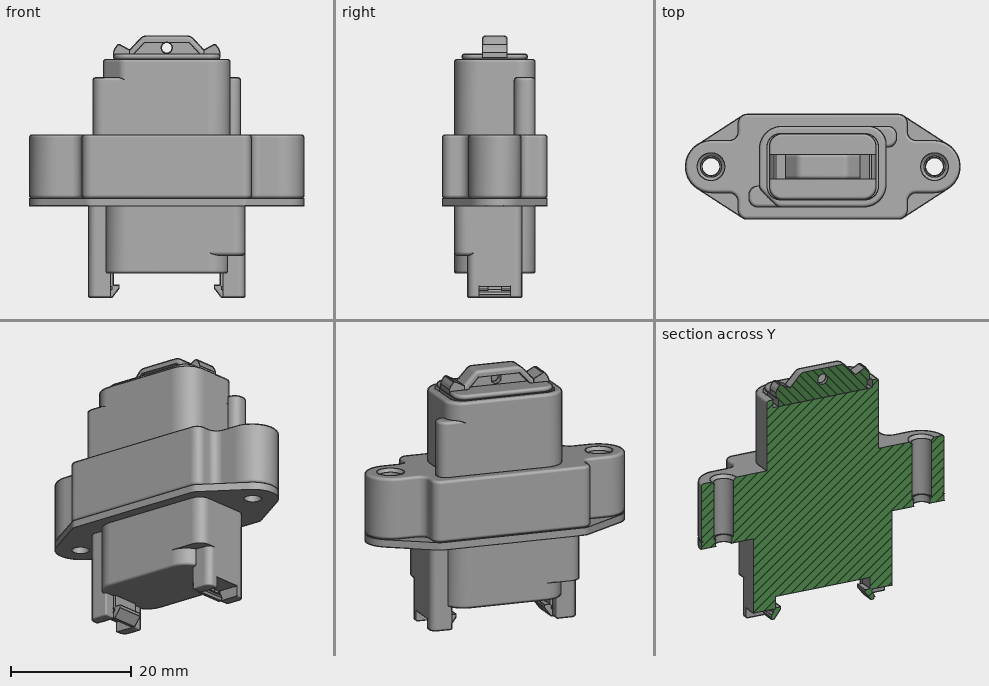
import cadquery as cq
import math

SOCKET_BOTTOM = 4.0
SOCKET_KEY_BOTTOM = 6.95
PLATE_BOTTOM = 15.15
PLATE_TOP = 16.43
BLOCK_TOP = 26.95
TOWER_KEY_TOP = 36.4
TOWER_TOP = 39.45
COVER_TOP = 40.3
HANDLE_TOP = 43.3

BLOCK_HALF_X = 14.0
BLOCK_HALF_Y = 8.7
BLOCK_ROUND = 1.5
LUG_RADIUS = 4.3
LUG_X = 22.75 - LUG_RADIUS
SCREW_X = 18.5
SCREW_BORE_DIAMETER = 3.5
SCREW_BORE_CHAMFER = 0.55
PLATE_HOLE_DIAMETER = 2.95

TOWER_HALF_X = 10.5
TOWER_HALF_Y = 6.7
TOWER_ROUND = 3.78
TOWER_KEYED_ROUND = 3.05
TOWER_CHAMFER = 3.1
TOWER_CHAMFER_ROUND = 1.55
TOWER_CHAMFER_DEPTH = 4.55
TOWER_KEY_OUTER_END = 12.25
TOWER_KEY_INNER_END = TOWER_CHAMFER + TOWER_CHAMFER_ROUND * math.tan(math.pi / 8) - TOWER_HALF_X
TOWER_KEY_WIDTH = 3.45
TOWER_KEY_ROUND = 1.5
OUTER_FILLET = 0.5

OPENING_HALF_X = 9.25
OPENING_HALF_Y = 5.5
OPENING_ROUND = 2.28
OPENING_DEPTH = 1.35

SOCKET_HALF_X = 10.35
SOCKET_ROUND = 3.55
SOCKET_FILLET = 0.4
SOCKET_KEY_ROUND = 1.95
SOCKET_KEY_FILLET = 0.55

ARM_OUTER_X = 12.95
ARM_INNER_X = 9.3
ARM_HALF_Y = 4.5
ARM_ROUND = 1.2
ARM_INNER_ROUND = 0.25
ARM_TIP_FILLET = 0.27
HOOK_HALF_Y = 2.6
HOOK_FACE_X = 8.83
HOOK_TIP_X = 7.85
HOOK_TOP = 2.05
HOOK_LIP_DROP = 0.5
HOOK_TOE_X = 9.05
HOOK_SHOULDER_X = 9.6
HOOK_SHOULDER_Z = 0.85
HOOK_RIDGE_X = 9.75
HOOK_RIDGE_Z = 0.45
HOOK_BACK_Z = 1.27
HOOK_HEEL_X = 9.5
HOOK_POCKET_START_Y = 1.15
HOOK_POCKET_BOTTOM = 1.15
HOOK_POCKET_FLOOR_TOP = 1.4
HOOK_POCKET_DEPTH = 0.25
ARM_NOTCH_HEIGHT = 1.8

COVER_HALF_X = 8.83
COVER_HALF_Y = 5.4
COVER_ROUND = 2.05
PLUG_INSET = 0.45

HANDLE_HALF_Y = 2.05
HANDLE_TOP_HALF_X = 3.95
HANDLE_FOOT_X = 6.15
HANDLE_FOOT_Z = 41.0
HANDLE_BEND = 1.35
HANDLE_FILLET = 0.55
HANDLE_RIM = 1.05
RECESS_FOOT_X = 5.5
WEB_HALF_Y = 0.7
EYE_DIAMETER = 1.77
EYE_Z = 41.35

EAR_TIP_INNER_X = 7.8
EAR_TIP_OUTER_X = 8.1
EAR_TIP_Z = 41.85
EAR_FACET_X = 8.6
EAR_FACET_Z = 41.22
EAR_FACET_ROUND = 0.75
EAR_SIDE_TOP = 40.6
EAR_BOTTOM = 39.7

HALF_TURN = 180
SELECT_MARGIN = 0.45


def turned(shape):
    """The same shape turned half a turn about the Z axis."""
    return shape.rotate((0, 0, 0), (0, 0, 1), HALF_TURN)


def slab(x0, x1, y0, y1, z0, z1):
    """A rectangular block between two corners."""
    return (
        cq.Workplane("XY")
        .box(x1 - x0, y1 - y0, z1 - z0, centered=False)
        .translate((x0, y0, z0))
    )


def rounded_block(half_x, half_y, radius, z0, z1):
    """A centred block with rounded vertical corners."""
    return slab(-half_x, half_x, -half_y, half_y, z0, z1).edges("|Z").fillet(radius)


def prism_along_y(points, y0, y1):
    """A prism along Y from an outline in X and Z."""
    return cq.Workplane("XZ", origin=(0, y1, 0)).polyline(points).close().extrude(y1 - y0)


def point_on_circle(centre_x, centre_y, radius, angle):
    """The point of a circle at an angle from +X."""
    return (centre_x + radius * math.cos(angle), centre_y + radius * math.sin(angle))


def make_plate():
    """Diamond plate: straight sides tangent to the lug ends and to the block corners."""
    corner_x = BLOCK_HALF_X - BLOCK_ROUND
    corner_y = BLOCK_HALF_Y - BLOCK_ROUND
    run = LUG_X - corner_x
    centre_distance = math.hypot(run, corner_y)
    tilt = math.acos((LUG_RADIUS - BLOCK_ROUND) / centre_distance)
    side_angle = math.atan2(corner_y, -run) - tilt
    corner_middle_angle = (side_angle + math.pi / 2) / 2

    return (
        cq.Workplane("XY", origin=(0, 0, PLATE_BOTTOM))
        .moveTo(0, BLOCK_HALF_Y)
        .lineTo(corner_x, BLOCK_HALF_Y)
        .threePointArc(
            point_on_circle(corner_x, corner_y, BLOCK_ROUND, corner_middle_angle),
            point_on_circle(corner_x, corner_y, BLOCK_ROUND, side_angle),
        )
        .lineTo(*point_on_circle(LUG_X, 0, LUG_RADIUS, side_angle))
        .threePointArc(
            point_on_circle(LUG_X, 0, LUG_RADIUS, side_angle / 2),
            (LUG_X + LUG_RADIUS, 0),
        )
        .mirrorX()
        .mirrorY()
        .extrude(PLATE_TOP - PLATE_BOTTOM)
    )


def make_block():
    """Flange block with a rounded lug at each end."""
    middle = slab(-BLOCK_HALF_X, BLOCK_HALF_X, -BLOCK_HALF_Y, BLOCK_HALF_Y, PLATE_TOP, BLOCK_TOP)
    lugs = (
        cq.Workplane("XY", origin=(0, 0, PLATE_TOP))
        .slot2D(2 * (LUG_X + LUG_RADIUS), 2 * LUG_RADIUS)
        .extrude(BLOCK_TOP - PLATE_TOP)
    )
    block = middle.union(lugs)
    corners = cq.selectors.BoxSelector(
        (-BLOCK_HALF_X - SELECT_MARGIN, -BLOCK_HALF_Y - SELECT_MARGIN, PLATE_TOP),
        (BLOCK_HALF_X + SELECT_MARGIN, BLOCK_HALF_Y + SELECT_MARGIN, BLOCK_TOP),
    )
    block = block.edges("|Z").edges(corners).fillet(BLOCK_ROUND)
    return block.faces("<Z or >Z").edges().fillet(OUTER_FILLET)


def cut_screw_holes(body):
    """Screw holes through both lugs: a chamfered bore in the block, a smaller hole in the plate."""
    radius = SCREW_BORE_DIAMETER / 2
    for x in (-SCREW_X, SCREW_X):
        hole = cq.Workplane("XY", origin=(x, 0, PLATE_BOTTOM)).circle(PLATE_HOLE_DIAMETER / 2)
        bore = cq.Workplane("XY", origin=(x, 0, PLATE_TOP)).circle(radius)
        cone = cq.Solid.makeCone(
            radius,
            radius + SCREW_BORE_CHAMFER,
            SCREW_BORE_CHAMFER,
            pnt=cq.Vector(x, 0, BLOCK_TOP - SCREW_BORE_CHAMFER),
        )
        body = body.cut(hole.extrude(PLATE_TOP - PLATE_BOTTOM))
        body = body.cut(bore.extrude(BLOCK_TOP - PLATE_TOP))
        body = body.cut(cq.Workplane(cone))
    return body


def tower_section(z0, z1, chamfered):
    """Tower length with three round corners; the one at -X, -Y is chamfered or square."""
    section = slab(-TOWER_HALF_X, TOWER_HALF_X, -TOWER_HALF_Y, TOWER_HALF_Y, z0, z1)
    if chamfered:
        section = section.edges("|Z and <X and <Y").chamfer(TOWER_CHAMFER)
        chamfer_ends = "(|Z and (<X or <Y)) exc (>X or >Y)"
        section = section.edges(chamfer_ends).fillet(TOWER_CHAMFER_ROUND)
    section = section.edges("|Z and >X and >Y").fillet(TOWER_KEYED_ROUND)
    return section.edges("|Z and ((>X and <Y) or (<X and >Y))").fillet(TOWER_ROUND)


def make_tower_key():
    """Key along the -X, -Y corner of the tower; it stops below the tower top."""
    key = slab(
        -TOWER_KEY_OUTER_END,
        TOWER_KEY_INNER_END,
        -TOWER_HALF_Y,
        TOWER_KEY_WIDTH - TOWER_HALF_Y,
        BLOCK_TOP,
        TOWER_KEY_TOP,
    )
    key = key.edges("|Z and <X").fillet(TOWER_KEY_ROUND)
    return key.faces(">Z").edges("not >X").fillet(OUTER_FILLET)


def make_tower():
    """Tower with a chamfered corner at the top, two keys and the opening for the cover."""
    chamfer_bottom = TOWER_TOP - TOWER_CHAMFER_DEPTH
    top = tower_section(chamfer_bottom, TOWER_TOP, chamfered=True)
    top = top.faces(">Z").edges().fillet(OUTER_FILLET)
    key = make_tower_key()
    shaft = tower_section(BLOCK_TOP, chamfer_bottom, chamfered=False)
    tower = shaft.union(top).union(key).union(turned(key))
    opening = rounded_block(
        OPENING_HALF_X, OPENING_HALF_Y, OPENING_ROUND, TOWER_TOP - OPENING_DEPTH, TOWER_TOP
    )
    return tower.cut(opening)


def make_socket_key():
    """Key that fills out the +X, -Y corner of the socket."""
    key = slab(
        SOCKET_HALF_X - SOCKET_ROUND, ARM_OUTER_X, -TOWER_HALF_Y, 0, SOCKET_KEY_BOTTOM, PLATE_BOTTOM
    )
    return key.edges("|Z and >X and <Y").fillet(SOCKET_KEY_ROUND)


def make_arm():
    """Snap arm on the +X side with a notched tip and an inward hook."""
    arm = slab(ARM_INNER_X, ARM_OUTER_X, -ARM_HALF_Y, ARM_HALF_Y, 0, PLATE_BOTTOM)
    arm = arm.edges("|Z and >X").fillet(ARM_ROUND)
    arm = arm.edges("|Z and <X").fillet(ARM_INNER_ROUND)
    arm = arm.faces("<Z").edges("not <X").fillet(ARM_TIP_FILLET)
    notch = slab(ARM_INNER_X, ARM_OUTER_X, -HOOK_HALF_Y, HOOK_HALF_Y, 0, ARM_NOTCH_HEIGHT)
    return arm.cut(notch).union(make_hook())


def make_hook():
    """Tongue along the +X arm: inward hook, ridged back and two corner pockets behind the tip."""
    outline = [
        (HOOK_HEEL_X, 0),
        (HOOK_TOE_X, 0),
        (HOOK_TIP_X, HOOK_TOP - HOOK_LIP_DROP),
        (HOOK_TIP_X, HOOK_TOP),
        (HOOK_FACE_X, HOOK_TOP),
        (HOOK_FACE_X, PLATE_BOTTOM),
        (ARM_INNER_X, PLATE_BOTTOM),
        (ARM_INNER_X, HOOK_BACK_Z),
        (HOOK_SHOULDER_X, HOOK_SHOULDER_Z),
        (HOOK_RIDGE_X, HOOK_RIDGE_Z),
    ]
    pocket_outline = [
        (ARM_OUTER_X, HOOK_POCKET_BOTTOM),
        (ARM_INNER_X, HOOK_POCKET_BOTTOM),
        (ARM_INNER_X - HOOK_POCKET_DEPTH, HOOK_POCKET_FLOOR_TOP),
        (ARM_INNER_X - HOOK_POCKET_DEPTH, ARM_NOTCH_HEIGHT),
        (ARM_OUTER_X, ARM_NOTCH_HEIGHT),
    ]
    hook = prism_along_y(outline, -HOOK_HALF_Y, HOOK_HALF_Y)
    for y0, y1 in ((-HOOK_HALF_Y, -HOOK_POCKET_START_Y), (HOOK_POCKET_START_Y, HOOK_HALF_Y)):
        hook = hook.cut(prism_along_y(pocket_outline, y0, y1))
    return hook


def make_socket():
    """Socket below the plate with its keys and snap arms."""
    socket = rounded_block(SOCKET_HALF_X, TOWER_HALF_Y, SOCKET_ROUND, SOCKET_BOTTOM, PLATE_BOTTOM)
    socket = socket.faces("<Z").edges().fillet(SOCKET_FILLET)
    key = make_socket_key()
    rounded_key = key.faces("<Z").edges("<Y").fillet(SOCKET_KEY_FILLET)
    arm = make_arm()
    for part in (rounded_key, turned(key), arm, turned(arm)):
        socket = socket.union(part)
    return socket


def make_adapter():
    """Flanged adapter body."""
    flange = cut_screw_holes(make_plate().union(make_block()))
    return flange.union(make_tower()).union(make_socket())


def mirrored(points):
    """The points followed by their mirror images across X = 0."""
    return points + [(-x, z) for x, z in reversed(points)]


def make_grip():
    """Trapezoid grip with rounded outer edges and a recessed web with an eye."""
    slope = (HANDLE_TOP - HANDLE_FOOT_Z) / (HANDLE_FOOT_X - HANDLE_TOP_HALF_X)
    outline = mirrored(
        [
            (-HANDLE_FOOT_X, COVER_TOP),
            (-HANDLE_FOOT_X, HANDLE_FOOT_Z),
            (-HANDLE_TOP_HALF_X, HANDLE_TOP),
        ]
    )
    grip = prism_along_y(outline, -HANDLE_HALF_Y, HANDLE_HALF_Y)
    grip = grip.faces(">Z").edges("|Y").fillet(HANDLE_BEND)
    grip = grip.faces(">Z").edges("|X").fillet(HANDLE_FILLET)

    recess_top = HANDLE_TOP - HANDLE_RIM
    recess_top_half_x = RECESS_FOOT_X - (recess_top - COVER_TOP) / slope
    recess = mirrored([(-RECESS_FOOT_X, COVER_TOP), (-recess_top_half_x, recess_top)])
    for y0, y1 in ((-HANDLE_HALF_Y, -WEB_HALF_Y), (WEB_HALF_Y, HANDLE_HALF_Y)):
        grip = grip.cut(prism_along_y(recess, y0, y1))

    eye = cq.Workplane("XZ", origin=(0, WEB_HALF_Y, EYE_Z)).circle(EYE_DIAMETER / 2)
    return grip.cut(eye.extrude(2 * WEB_HALF_Y))


def make_ear():
    """Faceted ear on the -X end of the handle, down over the end of the cover."""
    outline = [
        (-HANDLE_FOOT_X, EAR_BOTTOM),
        (-HANDLE_FOOT_X, HANDLE_FOOT_Z),
        (-EAR_TIP_INNER_X, EAR_TIP_Z),
        (-EAR_TIP_OUTER_X, EAR_TIP_Z),
        (-EAR_FACET_X, EAR_FACET_Z),
        (-COVER_HALF_X, EAR_SIDE_TOP),
        (-COVER_HALF_X, EAR_BOTTOM),
    ]
    ear = prism_along_y(outline, -HANDLE_HALF_Y, HANDLE_HALF_Y)
    facet_edge = cq.selectors.NearestToPointSelector((-EAR_FACET_X, 0, EAR_FACET_Z))
    return ear.edges("|Y").edges(facet_edge).fillet(EAR_FACET_ROUND)


def make_rim():
    """Cover disc whose edge is a full half-round."""
    edge_radius = (COVER_TOP - TOWER_TOP) / 2
    core_half_x = COVER_HALF_X - edge_radius
    core_half_y = COVER_HALF_Y - edge_radius
    core = rounded_block(core_half_x, core_half_y, COVER_ROUND - edge_radius, TOWER_TOP, COVER_TOP)
    path = cq.Workplane(core.section(TOWER_TOP + edge_radius).wires().val())
    edge = (
        cq.Workplane("YZ", origin=(0, -core_half_y, TOWER_TOP))
        .lineTo(0, 2 * edge_radius)
        .threePointArc((-edge_radius, edge_radius), (0, 0))
        .close()
        .sweep(path)
    )
    return core.union(edge)


def make_cover():
    """Cover with a rounded rim, a plug that sits in the tower opening, and a handle."""
    plug = rounded_block(
        COVER_HALF_X - PLUG_INSET,
        COVER_HALF_Y - PLUG_INSET,
        COVER_ROUND - PLUG_INSET,
        TOWER_TOP - OPENING_DEPTH,
        COVER_TOP,
    )
    ear = make_ear()
    return make_rim().union(plug).union(make_grip()).union(ear).union(turned(ear))


adapter = make_adapter()
cover = make_cover()

result = cq.Compound.makeCompound([adapter.val(), cover.val()])